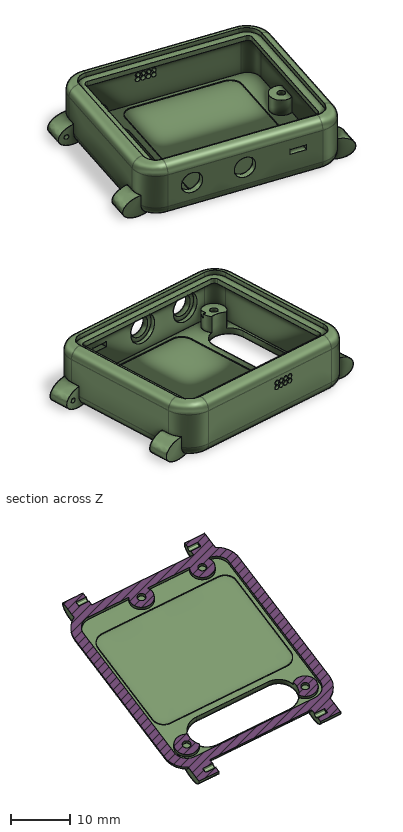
import cadquery as cq

case_length_x = 32.7
case_width_y = 38.25
case_height = 10.45
case_corner_radius = 4.5
back_left_corner_radius = 4.8
edge_round_radius = 2.0

wall = 2.0
floor_thickness = 1.2
seat_depth = 0.9
lip_thickness = 0.95
opening_x = 26.2
opening_y = 31.5
opening_corner_radius = 0.8
pocket_x = 27.35
pocket_y = 22.05
pocket_center_y = 2.4
pocket_corner_radius = 2.2
pocket_depth = 0.18

boss_radius = 2.2
boss_height = 3.15
boss_hole_diameter = 1.4
back_boss_y = 16.1
back_boss_xs = (-2.07, 9.95)
front_boss_y = -14.3
front_boss_x = 11.73
boss_centers = [(x, back_boss_y) for x in back_boss_xs]
boss_centers += [(x, front_boss_y) for x in (-front_boss_x, front_boss_x)]

window_length = 21.0
window_width = 6.8
window_center_y = -13.25

button_hole_diameter = 4.0
button_recess_diameter = 5.6
button_recess_depth = 0.85
button_recess_reach = 2.3
button_spacing = 10.0
button_center_z = 5.45
back_button_y = -0.1
button_center_ys = [back_button_y, back_button_y - button_spacing]
slot_width = 3.15
slot_height = 0.95
slot_center_y = 10.0
slot_center_z = 5.95

mic_hole_diameter = 0.9
mic_columns = 4
mic_rows = 2
mic_pitch_y = 1.0
mic_pitch_z = 0.9
mic_center_y = -3.3
mic_center_z = 6.85
mic_hole_slope = 10

lug_width = 4.0
lug_center_x = 12.05
lug_long_radius = 3.3
lug_short_radius = 2.05
lug_center_y = 18.8
lug_center_z = 2.0
lug_tilt = -12
pin_hole_diameter = 0.9
pin_hole_depth = 2.0
pin_center_y = 20.5
pin_center_z = 1.75

overlap = 0.45
cavity_x = case_length_x - 2 * wall
cavity_y = case_width_y - 2 * wall
cavity_corner_radius = case_corner_radius - wall
seat_z = case_height - seat_depth
cavity_top_z = seat_z - lip_thickness


def rounded_block(size_x, size_y, bottom_z, top_z, corner_radius, back_left_radius=None):
    """Upright block centred on the Z axis; the -X +Y corner may have its own radius."""
    block = cq.Workplane("XY").workplane(offset=bottom_z).rect(size_x, size_y).extrude(top_z - bottom_z)
    block = block.edges("|Z and (<X and >Y)").fillet(back_left_radius or corner_radius)
    return block.edges("|Z and (>X or (<X and <Y))").fillet(corner_radius)


def x_cylinder(diameter, start_x, end_x, center_y, center_z):
    """Cylinder along X between two X positions."""
    plane = cq.Workplane("YZ").workplane(offset=start_x)
    return plane.center(center_y, center_z).circle(diameter / 2).extrude(end_x - start_x)


def make_body():
    block = rounded_block(
        case_length_x, case_width_y, 0, case_height, case_corner_radius, back_left_corner_radius
    )
    return block.faces("<Z or >Z").edges().fillet(edge_round_radius)


def make_lug(center_x, side):
    """Elliptical strap lug drooping away from the case; side is +1 or -1 along Y."""
    plane = cq.Workplane("YZ").workplane(offset=center_x - lug_width / 2)
    plane = plane.center(side * lug_center_y, lug_center_z)
    return plane.ellipse(lug_long_radius, lug_short_radius, side * lug_tilt).extrude(lug_width)


def make_pin_hole(center_x, side):
    """Blind strap-pin hole in the inward-facing end of a lug."""
    direction = 1 if center_x > 0 else -1
    inner_x = center_x - direction * lug_width / 2
    return x_cylinder(
        pin_hole_diameter, inner_x, inner_x + direction * pin_hole_depth, side * pin_center_y, pin_center_z
    )


def make_interior():
    """Cavity under the lip, opening through the lip and seat recess above it."""
    cavity = rounded_block(cavity_x, cavity_y, floor_thickness, cavity_top_z, cavity_corner_radius)
    opening = rounded_block(opening_x, opening_y, cavity_top_z - overlap, case_height, opening_corner_radius)
    seat = rounded_block(
        case_length_x - 2 * edge_round_radius,
        case_width_y - 2 * edge_round_radius,
        seat_z,
        case_height + overlap,
        case_corner_radius - edge_round_radius,
        back_left_corner_radius - edge_round_radius,
    )
    pocket = rounded_block(
        pocket_x, pocket_y, floor_thickness - pocket_depth, floor_thickness + overlap, pocket_corner_radius
    ).translate((0, pocket_center_y, 0))
    return cavity.union(opening).union(seat).union(pocket)


def make_bosses():
    """Screw bosses standing on the floor; they merge into the nearby walls."""
    base = cq.Workplane("XY").workplane(offset=floor_thickness - overlap)
    return base.pushPoints(boss_centers).circle(boss_radius).extrude(boss_height + overlap)


def make_boss_holes():
    floor = cq.Workplane("XY").workplane(offset=floor_thickness)
    return floor.pushPoints(boss_centers).circle(boss_hole_diameter / 2).extrude(boss_height)


def make_window():
    base = cq.Workplane("XY").workplane(offset=-overlap).center(0, window_center_y)
    return base.slot2D(window_length, window_width).extrude(cavity_top_z - overlap)


def make_button_hole(center_y):
    """Through hole with a larger recess on the inside, which also clears the nearby boss."""
    outer_x = case_length_x / 2
    inner_x = cavity_x / 2
    hole = x_cylinder(button_hole_diameter, inner_x, outer_x + overlap, center_y, button_center_z)
    recess = x_cylinder(
        button_recess_diameter,
        inner_x - button_recess_reach,
        inner_x + button_recess_depth,
        center_y,
        button_center_z,
    )
    return hole.union(recess)


def make_slot():
    plane = cq.Workplane("YZ").workplane(offset=cavity_x / 2 - overlap)
    plane = plane.center(slot_center_y, slot_center_z)
    return plane.rect(slot_width, slot_height).extrude(wall + 2 * overlap)


def make_mic_holes():
    """Grid of holes that slope down towards the inside."""
    outer_x = -case_length_x / 2
    holes = cq.Workplane("YZ").workplane(offset=-overlap)
    holes = holes.rarray(mic_pitch_y, mic_pitch_z, mic_columns, mic_rows)
    holes = holes.circle(mic_hole_diameter / 2).extrude(wall + 2 * overlap)
    holes = holes.rotate((0, 0, 0), (0, 1, 0), mic_hole_slope)
    return holes.translate((outer_x, mic_center_y, mic_center_z))


lug_places = [(x, side) for x in (-lug_center_x, lug_center_x) for side in (-1, 1)]

result = make_body()
for center_x, side in lug_places:
    result = result.union(make_lug(center_x, side))
    result = result.cut(make_pin_hole(center_x, side))
result = result.cut(make_interior())
result = result.union(make_bosses()).cut(make_boss_holes())
result = result.cut(make_window())
for center_y in button_center_ys:
    result = result.cut(make_button_hole(center_y))
result = result.cut(make_slot()).cut(make_mic_holes())